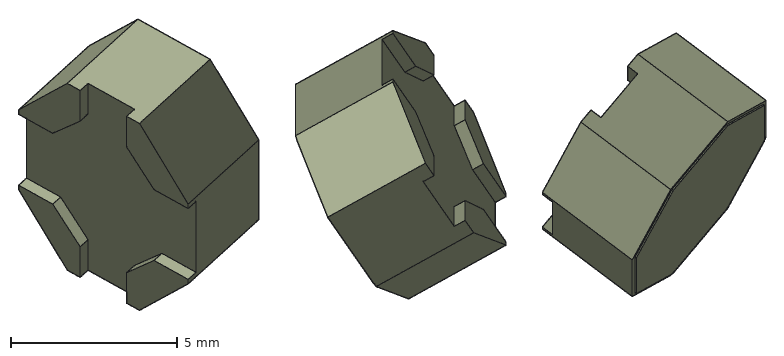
import cadquery as cq

width = 6.48
depth = 3.5
height = 8.0

end_flat = 2.76
side_flat = 3.42

plate_thickness = 0.05
plate_inset = 0.14

recess_depth = 0.38
end_gap = 1.78
side_gap = 3.03
foot_edge_x = 1.94
foot_edge_z = 2.69

body_depth = depth - plate_thickness


def mirrored_outline(quadrant_points):
    """Close an outline from its +X, +Z quadrant, listed from the side to the top."""
    upper_left = [(-x, z) for x, z in reversed(quadrant_points)]
    lower_left = [(-x, -z) for x, z in quadrant_points]
    lower_right = [(x, -z) for x, z in reversed(quadrant_points)]
    return quadrant_points + upper_left + lower_left + lower_right


def slab(outline, start_y, thickness, inset=0):
    """Extrude an XZ outline toward +Y from start_y, optionally shrunk by an even inset."""
    sketch = cq.Workplane("XZ", origin=(0, start_y, 0)).polyline(outline).close()
    if inset:
        sketch = sketch.offset2D(-inset)
    return sketch.extrude(-thickness)


body_outline = mirrored_outline([(width / 2, side_flat / 2), (end_flat / 2, height / 2)])
recess_outline = mirrored_outline([
    (width / 2, side_gap / 2),
    (foot_edge_x, side_gap / 2),
    (end_gap / 2, foot_edge_z),
    (end_gap / 2, height / 2),
])

body = slab(body_outline, 0, body_depth)
plate = slab(body_outline, body_depth, plate_thickness, plate_inset)
recess = slab(recess_outline, 0, recess_depth)

result = body.union(plate).cut(recess)